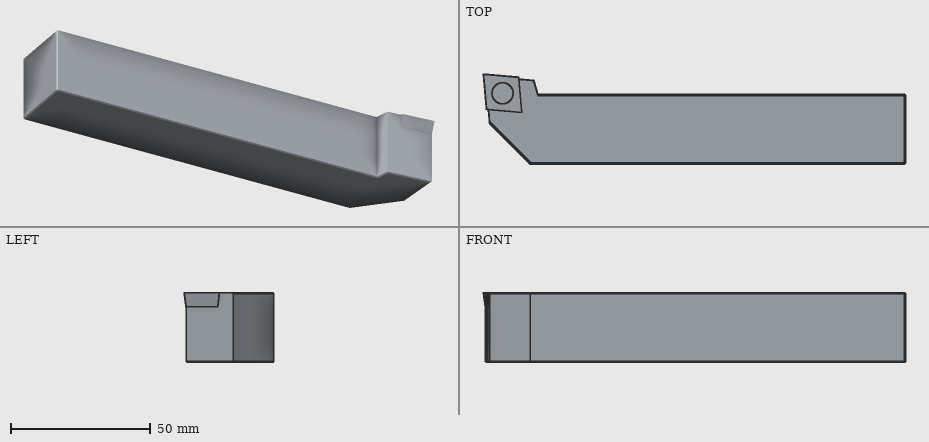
import cadquery as cq
import math

LENGTH = 151.5
SHANK_SIZE = 25.0
EDGE_CHAMFER = 0.5

INSERT_SIDE = 12.7
INSERT_HEIGHT = 5.0
RELIEF_ANGLE = 7.0
EDGE_TILT = math.radians(5.0)
TIP_Y = 32.3
PIN_DIAMETER = 7.5

TIP_SETBACK = 0.8
HEAD_EDGE_LENGTH = 17.4
SHOULDER_X = 19.5
FLANK_END_Y = 14.5
BEVEL_END_X = 16.8

ALONG = math.cos(EDGE_TILT)
ACROSS = math.sin(EDGE_TILT)


def rhombus_points():
    """Corners of the insert's top face, starting at the cutting tip."""
    long_step = INSERT_SIDE * ALONG
    short_step = INSERT_SIDE * ACROSS
    return [
        (0, TIP_Y),
        (long_step, TIP_Y - short_step),
        (long_step + short_step, TIP_Y - long_step - short_step),
        (short_step, TIP_Y - long_step),
    ]


def insert_blank():
    """Rhombic prism narrowing downward by the relief angle."""
    return (
        cq.Workplane("XY", origin=(0, 0, SHANK_SIZE))
        .polyline(rhombus_points())
        .close()
        .extrude(-INSERT_HEIGHT, taper=RELIEF_ANGLE)
    )


def clamping_pin():
    """Cylinder through the middle of the insert."""
    tip, _, opposite, _ = rhombus_points()
    center = ((tip[0] + opposite[0]) / 2, (tip[1] + opposite[1]) / 2)
    return (
        cq.Workplane("XY", origin=(0, 0, SHANK_SIZE))
        .center(*center)
        .circle(PIN_DIAMETER / 2)
        .extrude(-INSERT_HEIGHT)
    )


def make_insert():
    """Insert with its pin hole."""
    return insert_blank().cut(clamping_pin())


def make_holder():
    """Square shank and angled head, with an insert pocket around a fixed pin."""
    head_tip = (TIP_SETBACK, TIP_Y - TIP_SETBACK)
    head_end = (head_tip[0] + HEAD_EDGE_LENGTH * ALONG, head_tip[1] - HEAD_EDGE_LENGTH * ACROSS)
    flank_end_x = head_tip[0] + (head_tip[1] - FLANK_END_Y) * math.tan(EDGE_TILT)
    body = (
        cq.Workplane("XY")
        .moveTo(*head_tip)
        .lineTo(*head_end)
        .lineTo(SHOULDER_X, SHANK_SIZE)
        .lineTo(LENGTH, SHANK_SIZE)
        .lineTo(LENGTH, 0)
        .lineTo(BEVEL_END_X, 0)
        .lineTo(flank_end_x, FLANK_END_Y)
        .close()
        .extrude(SHANK_SIZE)
    )
    bevel = cq.Vector(flank_end_x - BEVEL_END_X, FLANK_END_Y, 0)
    upper_edges = body.faces(">Z").edges()
    chamfered_edges = (
        body.faces("<Z or >X")
        .edges()
        .add(upper_edges.edges("|X"))
        .add(upper_edges.edges(cq.selectors.ParallelDirSelector(bevel)))
    )
    body = chamfered_edges.chamfer(EDGE_CHAMFER)
    return body.cut(make_insert())


holder = make_holder()
insert = make_insert()

result = cq.Compound.makeCompound([holder.val(), insert.val()])